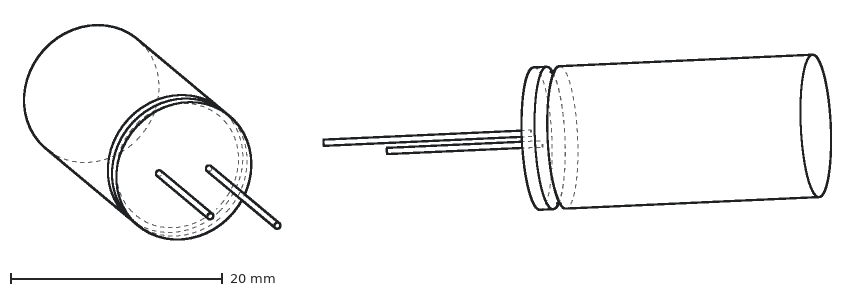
import cadquery as cq

total_length = 47.0
can_length = 27.0
can_diameter = 13.5
can_radius = can_diameter / 2

groove_radius = 0.6
groove_center_x = 25.1

lead_diameter = 0.6
lead_pitch = 5.0
short_lead_length = 15.0
long_lead_length = total_length - can_length


def make_can():
    """Solid round can with a half-round crimp groove, revolved about the X axis."""
    profile = (
        cq.Workplane("XY")
        .moveTo(0, 0)
        .lineTo(0, can_radius)
        .lineTo(groove_center_x - groove_radius, can_radius)
        .threePointArc(
            (groove_center_x, can_radius - groove_radius),
            (groove_center_x + groove_radius, can_radius),
        )
        .lineTo(can_length, can_radius)
        .lineTo(can_length, 0)
        .close()
    )
    return profile.revolve(360, (0, 0, 0), (1, 0, 0))


def make_lead(y, length):
    """Straight round wire that starts on the end face of the can."""
    return (
        cq.Workplane("YZ", origin=(can_length, y, 0))
        .circle(lead_diameter / 2)
        .extrude(length)
    )


can = make_can()

lead_layout = [
    (-lead_pitch / 2, short_lead_length),
    (lead_pitch / 2, long_lead_length),
]
leads = [make_lead(y, length) for y, length in lead_layout]

result = cq.Compound.makeCompound([can.val(), *[lead.val() for lead in leads]])